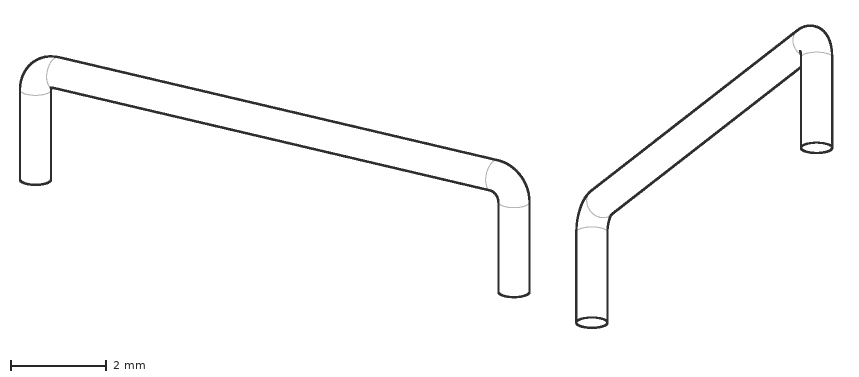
import cadquery as cq

overall_length = 12.66
overall_height = 2.84
wire_diameter = 0.66
bend_radius = 0.5

wire_radius = wire_diameter / 2
leg_x = overall_length / 2 - wire_radius
bar_z = overall_height - wire_radius
bend_start_z = bar_z - bend_radius
bar_end_x = leg_x - bend_radius

centreline = (
    cq.Workplane("XZ")
    .moveTo(-leg_x, 0)
    .lineTo(-leg_x, bend_start_z)
    .radiusArc((-bar_end_x, bar_z), bend_radius)
    .lineTo(bar_end_x, bar_z)
    .radiusArc((leg_x, bend_start_z), bend_radius)
    .lineTo(leg_x, 0)
)

result = (
    cq.Workplane("XY")
    .center(-leg_x, 0)
    .circle(wire_radius)
    .sweep(centreline)
)